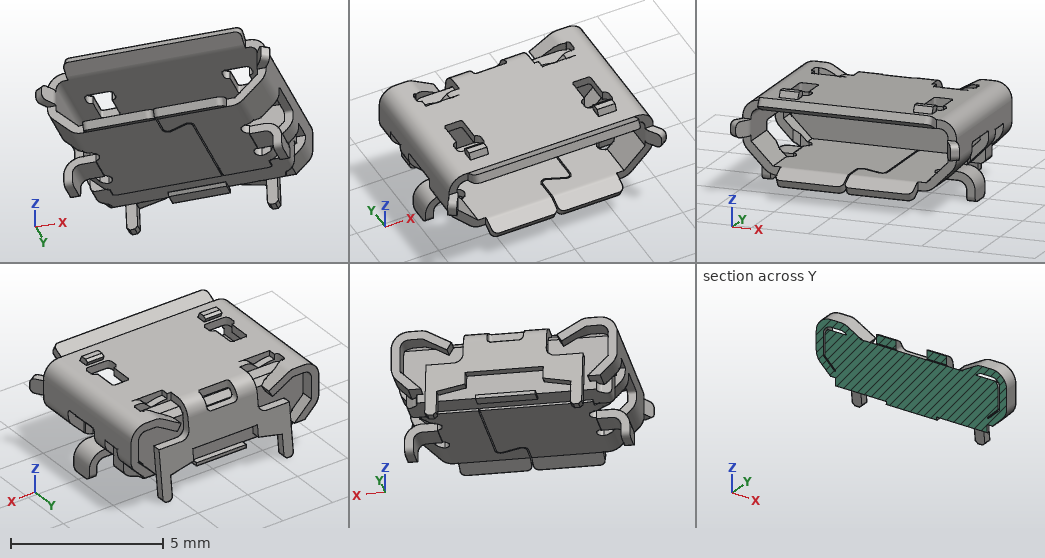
import cadquery as cq
import math


sheet = 0.30
half_width = 3.775
height = 2.50
depth = 5.00
bend_radius = 2 * sheet
flank_drop = 0.95

inner_half_width = half_width - sheet
inner_top = height - sheet
inner_flank = flank_drop - sheet * (2 - math.sqrt(2))
half_seam = 0.025
far = 10.0


def box(x0, x1, y0, y1, z0, z1):
    """Axis-aligned block given by its limits."""
    return cq.Workplane("XY").box(x1 - x0, y1 - y0, z1 - z0, centered=False).translate((x0, y0, z0))


def both_sides(body):
    """The body together with its mirror image across the YZ plane."""
    return body.union(body.mirror("YZ"))


def along_y(points, y0, y1):
    """Prism of an XZ outline between two Y values."""
    return cq.Workplane("XZ", origin=(0, y0, 0)).polyline(points).close().extrude(y0 - y1)


def along_x(points, x0, x1):
    """Prism of a YZ outline between two X values."""
    return cq.Workplane("YZ", origin=(x0, 0, 0)).polyline(points).close().extrude(x1 - x0)


def section(half, bottom, top, flank):
    """XZ outline: upright box whose two lower corners are cut at 45 degrees."""
    return [
        (-half, top), (half, top), (half, bottom + flank), (half - flank, bottom),
        (flank - half, bottom), (-half, bottom + flank),
    ]


def make_tube():
    outer = along_y(section(half_width, 0, height, flank_drop), 0, depth)
    outer = outer.edges("|Y").fillet(bend_radius)
    inner = along_y(section(inner_half_width, sheet, inner_top, inner_flank), 0, depth)
    inner = inner.edges("|Y and >Z").fillet(bend_radius - sheet)
    return outer.cut(inner)


lip_corner = 0.20
top_lip_half_width = 3.07
bottom_lip_half_width = 2.42
side_lip_bottom = 1.27
side_lip_top = 1.83
flat_lip_angle = 28.0
flat_lip_rise = 0.245
side_lip_angle = 33.0
side_lip_rise = 0.27


def lip(width, angle, rise):
    """Lip flaring towards +Z from a plate whose outer face is Z = 0, centred on X = 0."""
    a = math.radians(angle)
    tip_y = -rise / math.tan(a)
    body = (
        cq.Workplane("YZ", origin=(-width / 2, 0, 0))
        .moveTo(0, 0)
        .lineTo(tip_y, rise)
        .lineTo(tip_y - sheet * math.sin(a), rise - sheet * math.cos(a))
        .lineTo(-sheet * math.sin(a), -sheet * math.cos(a))
        .threePointArc((-sheet * math.sin(a / 2), -sheet * math.cos(a / 2)), (0, -sheet))
        .close()
        .extrude(width)
    )
    across = cq.Vector(0, math.sin(a), math.cos(a))
    return body.faces("<Y").edges(cq.selectors.ParallelDirSelector(across)).fillet(lip_corner)


def make_lips():
    top = lip(2 * top_lip_half_width, flat_lip_angle, flat_lip_rise).translate((0, 0, height))
    half_lip = lip(bottom_lip_half_width - half_seam, flat_lip_angle, flat_lip_rise).mirror("XY")
    bottom = half_lip.translate(((bottom_lip_half_width + half_seam) / 2, 0, 0))
    side = lip(side_lip_top - side_lip_bottom, side_lip_angle, side_lip_rise)
    side = side.rotate((0, 0, 0), (0, 1, 0), 90)
    side = side.translate((half_width, 0, (side_lip_bottom + side_lip_top) / 2))
    return top.union(both_sides(bottom.union(side)))


leg_front = 1.70
leg_rear = 2.60
leg_outer = 3.765
leg_drop = 0.735
leg_root = 2.65
leg_sag = 0.03
leg_corner = 0.20


def make_side_leg():
    centre_x = leg_outer - bend_radius
    top = sheet - leg_sag
    centre_z = top - bend_radius
    s = math.sqrt(0.5)
    inner_radius = bend_radius - sheet
    body = (
        cq.Workplane("XZ", origin=(0, leg_front, 0))
        .moveTo(leg_root, top)
        .lineTo(centre_x, top)
        .threePointArc((centre_x + bend_radius * s, centre_z + bend_radius * s), (leg_outer, centre_z))
        .lineTo(leg_outer, -leg_drop)
        .lineTo(leg_outer - sheet, -leg_drop)
        .lineTo(leg_outer - sheet, centre_z)
        .threePointArc((centre_x + inner_radius * s, centre_z + inner_radius * s), (centre_x, -leg_sag))
        .lineTo(leg_root, -leg_sag)
        .close()
        .extrude(leg_front - leg_rear)
    )
    return body.faces("<Z").edges("|X").fillet(leg_corner)


window_front = 1.41
window_rear = 2.90
window_top = 1.42
window_corner = 0.10
relief_inner = 2.46
relief_width = 0.48
relief_corner = 0.235
relief_flare = 2.95
flank_cut_top = 0.80


def make_leg_window():
    window = box(relief_flare, far, window_front, window_rear, -far, window_top)
    window = window.edges("|X and >Z").fillet(window_corner)
    front = leg_front - relief_width
    rear = leg_rear + relief_width
    flare_end = relief_flare + window_front - front
    plan = [
        (leg_root, front), (relief_flare, front), (flare_end, window_front),
        (flare_end, window_rear), (relief_flare, rear), (leg_root, rear),
    ]
    flank = cq.Workplane("XY").polyline(plan).close().extrude(flank_cut_top)
    cut = window.union(flank)
    for y0 in (front, leg_rear):
        relief = box(relief_inner, relief_flare, y0, y0 + relief_width, -far, sheet)
        cut = cut.union(relief.edges("|Z and <X").fillet(relief_corner))
    return cut


latch_x = 2.37
latch_width = 0.66
latch_rear = 2.45
latch_front = 1.05
latch_wide = 1.00
latch_wide_rear = 1.55
latch_corner = 0.08
latch_wide_corner = 0.16


def make_latch_slot():
    half = latch_width / 2
    narrow = box(latch_x - half, latch_x + half, latch_front, latch_rear, inner_top, far)
    wide_half = latch_wide / 2
    wide = box(latch_x - wide_half, latch_x + wide_half, latch_front, latch_wide_rear, inner_top, far)
    narrow = narrow.edges("|Z and >Y").fillet(latch_corner)
    wide = wide.edges("|Z").fillet(latch_wide_corner)
    return narrow.union(wide)


hook_front = 0.54
hook_rear = 0.92
hook_tip = 0.99
hook_crest_front = 0.65
hook_crest_rear = 0.87
hook_rise = 0.22
hook_tip_rise = 0.15


def make_hook():
    crest = height + hook_rise
    outline = [
        (hook_front, height), (hook_crest_front, crest), (hook_crest_rear, crest),
        (hook_tip, height + hook_tip_rise), (hook_rear, height),
        (hook_rear, inner_top), (hook_front, inner_top),
    ]
    return along_x(outline, latch_x - latch_width / 2, latch_x + latch_width / 2)


flap_half_width = 1.39
roof_end = 4.27
roof_window_outer = 2.90
roof_window_corner = 0.10
roof_window_front = 3.89
roof_window_rear = 4.33
tab_root = 2.79
tab_tip = 1.76
tab_angle = 30.0
tab_bend_radius = 0.52
tab_front_root = 4.29
tab_front_knee = 4.44
tab_front_tip = 4.49
tab_knee = 2.40


def make_roof_opening():
    window = box(flap_half_width, roof_window_outer, roof_window_front, roof_window_rear, inner_top, far)
    window = window.edges("|Z and >X").fillet(roof_window_corner)
    notch = box(0, tab_root, roof_end, depth, sheet, far)
    return window.union(notch)


def make_tab():
    """Tab at the rear edge of the roof, bent down towards the middle."""
    a = math.radians(tab_angle)
    inner_radius = tab_bend_radius - sheet
    axis_z = height - tab_bend_radius

    def on_bend(radius, angle):
        return (tab_root - radius * math.sin(angle), axis_z + radius * math.cos(angle))

    outer_end = on_bend(tab_bend_radius, a)
    inner_end = on_bend(inner_radius, a)
    run = (outer_end[0] - tab_tip) / math.cos(a)
    step = (-run * math.cos(a), -run * math.sin(a))
    body = (
        cq.Workplane("XZ", origin=(0, roof_end, 0))
        .moveTo(tab_root, height)
        .threePointArc(on_bend(tab_bend_radius, a / 2), outer_end)
        .lineTo(outer_end[0] + step[0], outer_end[1] + step[1])
        .lineTo(inner_end[0] + step[0], inner_end[1] + step[1])
        .lineTo(*inner_end)
        .threePointArc(on_bend(inner_radius, a / 2), (tab_root, inner_top))
        .close()
        .extrude(roof_end - depth)
    )
    plan = [
        (tab_root, depth), (tab_root, tab_front_root), (tab_knee, tab_front_knee),
        (tab_tip, tab_front_tip), (tab_tip, depth),
    ]
    return body.intersect(cq.Workplane("XY").polyline(plan).close().extrude(far))


clip_centre = 2.155
clip_width = 1.22
clip_front = 3.61
clip_slope_start = (0.29, 0.22)
clip_slope_end = (0.54, 0.28)
clip_trough = (0.62, 0.29)
clip_ramp_start = (0.68, 0.27)
clip_ramp_end = (0.91, 0.06)
clip_crest = (1.05, 0.01)
clip_left_end = (0, 0.20)
clip_left_bend = (0.14, 0.205)


def below_roof(point):
    offset, drop = point
    return (offset, -drop)


def make_clip_pocket(side):
    left = side * clip_centre - clip_width / 2
    return box(left, left + clip_width, clip_front, roof_window_front, inner_top, far)


def make_clip(side):
    """Wavy filling of the pocket; both clips face the same way."""
    body = (
        cq.Workplane("XZ", origin=(0, clip_front, 0))
        .moveTo(0, -sheet)
        .lineTo(*below_roof(clip_left_end))
        .threePointArc(below_roof(clip_left_bend), below_roof(clip_slope_start))
        .lineTo(*below_roof(clip_slope_end))
        .threePointArc(below_roof(clip_trough), below_roof(clip_ramp_start))
        .lineTo(*below_roof(clip_ramp_end))
        .threePointArc(below_roof(clip_crest), (clip_width, 0))
        .lineTo(clip_width, -sheet)
        .close()
        .extrude(clip_front - roof_window_front)
    )
    return body.translate((side * clip_centre - clip_width / 2, 0, height))


flap_tilt = 7.2
flap_foot = -0.70
flap_shoulder = 1.25
flap_fillet = 0.32
pin_outer = 2.62
pin_inner = 2.24
pin_chamfer = 0.10
wing_bottom_outer = 0.20
wing_bottom_inner = 0.40
wing_inner = 1.30
flap_bottom = 0.85
flap_hole_half_width = 0.61
flap_hole_bottom = 1.95
flap_hole_front = 4.31
flap_hole_corner = 0.17


def make_flap():
    t = math.radians(flap_tilt)
    axis_z = height - bend_radius
    inner_radius = bend_radius - sheet

    def on_bend(radius, angle):
        return (roof_end + radius * math.cos(angle), axis_z + radius * math.sin(angle))

    middle = (t + math.pi / 2) / 2
    outer_start = on_bend(bend_radius, t)
    inner_start = on_bend(inner_radius, t)
    run = height - flap_foot
    foot = (run * math.sin(t), -run * math.cos(t))
    sheet_body = (
        cq.Workplane("YZ", origin=(-pin_outer, 0, 0))
        .moveTo(roof_end, height)
        .threePointArc(on_bend(bend_radius, middle), outer_start)
        .lineTo(outer_start[0] + foot[0], outer_start[1] + foot[1])
        .lineTo(inner_start[0] + foot[0], inner_start[1] + foot[1])
        .lineTo(*inner_start)
        .threePointArc(on_bend(inner_radius, middle), (roof_end, inner_top))
        .close()
        .extrude(2 * pin_outer)
    )
    right = [
        (flap_half_width, height), (flap_half_width, flap_shoulder), (pin_outer, flap_shoulder),
        (pin_outer, flap_foot + pin_chamfer), (pin_outer - pin_chamfer, flap_foot),
        (pin_inner + pin_chamfer, flap_foot), (pin_inner, flap_foot + pin_chamfer),
        (pin_inner, wing_bottom_outer), (wing_inner, wing_bottom_inner), (wing_inner, flap_bottom),
    ]
    left = [(-x, z) for x, z in reversed(right)]
    blank = along_y(right + left, roof_end, far)
    for side in (-1, 1):
        corner = cq.selectors.NearestToPointSelector((side * flap_half_width, depth, flap_shoulder))
        blank = blank.edges("|Y").edges(corner).fillet(flap_fillet)
    hole = box(-flap_hole_half_width, flap_hole_half_width, flap_hole_front, far, flap_hole_bottom, far)
    hole = hole.edges("|Y and <Z").fillet(flap_hole_corner).edges("|Z and <Y").fillet(flap_hole_corner / 2)
    return sheet_body.intersect(blank).cut(hole)


floor_end = 3.81
slot_front = 3.50
slot_rear = 4.21
slot_top = 1.30
slot_inner = 2.75
rear_flank_bottom = 0.38
seam_start = 0.62
seam_first_bend = (0.06, 0.76)
seam_jog_start = (0.22, 0.80)
seam_jog_end = (0.83, 0.55)
seam_second_bend = (0.99, 0.57)
seam_shift = 1.05
seam_restart = 0.70


def make_floor_seam():
    """Thin S-shaped joint between the two halves of the floor."""
    path = (
        cq.Workplane("XY")
        .moveTo(0, -sheet)
        .lineTo(0, seam_start)
        .threePointArc(seam_first_bend, seam_jog_start)
        .lineTo(*seam_jog_end)
        .threePointArc(seam_second_bend, (seam_shift, seam_restart))
        .lineTo(seam_shift, floor_end)
    )
    return path.offset2D(half_seam).extrude(sheet)


def make_rear_cutouts():
    rear_flank = box(0, far, slot_rear, far, -far, rear_flank_bottom)
    floor = box(0, slot_inner, floor_end, far, -far, sheet)
    slot = box(slot_inner, far, slot_front, slot_rear, -far, slot_top)
    return rear_flank.union(floor).union(slot)


block_front = slot_front
block_rear = 4.58
block_bottom = 0.08
block_half_width = 3.43
block_top_corner = 0.36
slope_size = 0.21
shoulder_edge = 0.20
shoulder_rear = 4.09
scoop_start = (3.15, 4.30)
scoop_middle = (3.04, 4.39)
scoop_end = (3.00, 4.50)
keel_half_width = 1.00
keel_front = 4.28
keel_rear = 4.80
keel_bottom = -0.03
keel_top = 0.10
keel_chamfer = 0.10


def make_insulator():
    body = along_y(section(block_half_width, sheet, inner_top, inner_flank), block_front, block_rear)
    body = body.edges("|Y and >Z").fillet(block_top_corner)
    slope = [
        (block_rear - slope_size, inner_top), (block_rear, inner_top - slope_size),
        (block_rear + slope_size, inner_top - slope_size), (block_rear + slope_size, inner_top),
    ]
    body = body.cut(along_x(slope, -half_width, half_width))
    shoulder = box(-block_half_width, block_half_width, block_front, block_rear, block_bottom, slot_top)
    shoulder = shoulder.edges("|Y and <Z").fillet(shoulder_edge)
    plan = (
        cq.Workplane("XY")
        .moveTo(0, block_front)
        .lineTo(block_half_width, block_front)
        .lineTo(block_half_width, shoulder_rear)
        .lineTo(*scoop_start)
        .threePointArc(scoop_middle, scoop_end)
        .lineTo(scoop_end[0], block_rear)
        .lineTo(0, block_rear)
        .close()
        .extrude(slot_top)
    )
    shoulder = shoulder.intersect(both_sides(plan))
    keel = box(-keel_half_width, keel_half_width, keel_front, keel_rear, keel_bottom, keel_top)
    keel = keel.edges("|X and <Y and <Z").chamfer(keel_chamfer)
    return body.union(shoulder).union(keel)


result = make_tube()
result = result.cut(both_sides(make_leg_window().union(make_latch_slot())))
result = result.cut(both_sides(make_roof_opening().union(make_rear_cutouts())))
result = result.cut(make_floor_seam())
for side in (-1, 1):
    result = result.cut(make_clip_pocket(side))
result = result.union(make_lips())
result = result.union(both_sides(make_side_leg().union(make_hook()).union(make_tab())))
result = result.union(make_flap()).union(make_insulator())
for side in (-1, 1):
    result = result.union(make_clip(side))
result = cq.Workplane("XY").newObject([result.solids().val()])